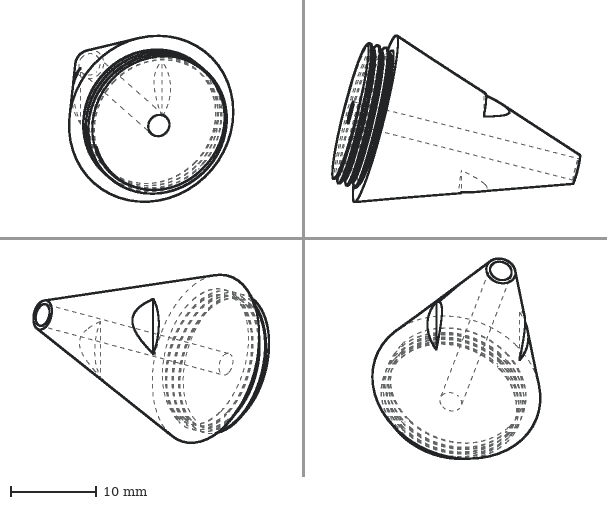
import cadquery as cq

total_length = 27.5
cone_length = 24.48
tip_diameter = 3.52
base_diameter = 20.25
bore_diameter = 2.6

flat_spacing = 10.0
flat_end = 12.62

thread_major_diameter = 16.88
thread_root_diameter = 15.73
thread_pitch = 1.0
crest_width = 0.15
root_width = 0.2
first_crest = 25.25
root_overlap = 0.08
lead_in_turns = 2
thread_turns = 6


def make_cone():
    """Conical body widening from the tip to the shoulder."""
    outline = [
        (0, 0),
        (0, tip_diameter / 2),
        (cone_length, base_diameter / 2),
        (cone_length, 0),
    ]
    return cq.Workplane("XY").polyline(outline).close().revolve(360, (0, 0), (1, 0))


def make_flat_cutter(side):
    """Block that removes the cone outside one wrench flat."""
    depth = base_diameter / 2
    return cq.Workplane("XY").box(
        flat_end, depth, base_diameter, centered=(False, True, True)
    ).translate((0, side * (flat_spacing + depth) / 2, 0))


def make_neck_cylinder(diameter):
    """Cylinder from the shoulder to the rear end."""
    shoulder = cq.Workplane("YZ", origin=(cone_length, 0, 0))
    return shoulder.circle(diameter / 2).extrude(total_length - cone_length)


def make_thread_ridge():
    """Helical ridge, trimmed to the length of the threaded neck."""
    root_radius = thread_root_diameter / 2
    crest_radius = thread_major_diameter / 2
    ridge_width = thread_pitch - root_width
    flank_slope = (ridge_width - crest_width) / 2 / (crest_radius - root_radius)
    inner_radius = root_radius - root_overlap
    inner_half_width = ridge_width / 2 + flank_slope * root_overlap
    profile = [
        (inner_radius, -inner_half_width),
        (crest_radius, -crest_width / 2),
        (crest_radius, crest_width / 2),
        (inner_radius, inner_half_width),
    ]
    helix = cq.Wire.makeHelix(thread_pitch, thread_turns * thread_pitch, root_radius)
    ridge = cq.Workplane("XZ").polyline(profile).close().sweep(cq.Workplane(helix), isFrenet=True)
    ridge = ridge.rotate((0, 0, 0), (1, 1, 1), 120)
    ridge = ridge.translate((first_crest - lead_in_turns * thread_pitch, 0, 0))
    return ridge.intersect(make_neck_cylinder(base_diameter))


body = make_cone()
for side in (-1, 1):
    body = body.cut(make_flat_cutter(side))

neck = make_neck_cylinder(thread_root_diameter)
body = body.union(neck).union(make_thread_ridge())

bore = cq.Workplane("YZ").circle(bore_diameter / 2).extrude(total_length)
result = body.cut(bore)